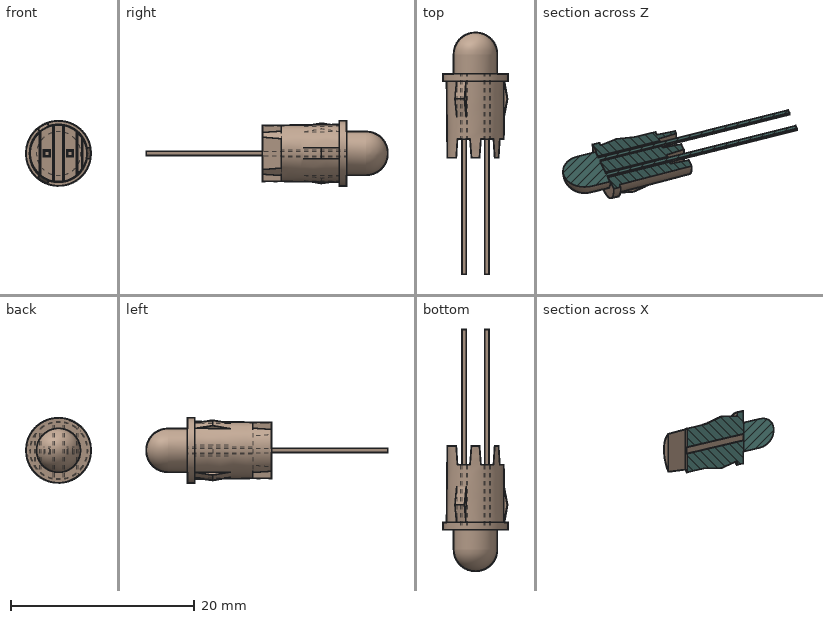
import cadquery as cq
import math

TOTAL_LENGTH = 26.43

LENS_RADIUS = 2.4
LENS_LENGTH = 4.52
LEAD_WIDTH = 0.5
LEAD_OFFSET = 1.25

FLANGE_RADIUS = 3.57
FLANGE_THICKNESS = 0.82
BARREL_RADIUS = 3.17
BARREL_END_RADIUS = 3.1
BARREL_LENGTH = 8.38
FOOT_LENGTH = 2.05
LEAD_HOLE_WIDTH = 0.75
LEAD_HOLE_OFFSET = 1.27

GAP_INNER_FLOOR = 0.6
GAP_INNER_TIP = 0.45
GAP_OUTER_FLOOR = 1.95
GAP_OUTER_TIP = 2.1
SIDE_CUT_FLOOR = 2.67
SIDE_CUT_TIP = 2.55

BARB_COUNT = 3
BARB_WIDTH = 1.2
BARB_PEAK_RADIUS = 3.52
BARB_PEAK_DISTANCE = 1.93
BARB_LENGTH = 3.89
BARB_ROOT_RADIUS = 2.9

SEAT_Y = FLANGE_THICKNESS
TIP_Y = SEAT_Y + LENS_LENGTH
LEAD_END_Y = TIP_Y - TOTAL_LENGTH
GAP_FLOOR_Y = FOOT_LENGTH - BARREL_LENGTH


def square_bar(width, center_x, start_y, end_y):
    """Square bar along Y, centred on Z = 0."""
    length = end_y - start_y
    return cq.Workplane("XY").box(width, length, width).translate((center_x, start_y + length / 2, 0))


def make_led():
    """Domed lens seated on the flange, with its two leads."""
    dome_base_y = TIP_Y - LENS_RADIUS
    half_angle = math.radians(45)
    arc_middle = (LENS_RADIUS * math.cos(half_angle), dome_base_y + LENS_RADIUS * math.sin(half_angle))
    led = (
        cq.Workplane("XY")
        .moveTo(0, SEAT_Y)
        .lineTo(LENS_RADIUS, SEAT_Y)
        .lineTo(LENS_RADIUS, dome_base_y)
        .threePointArc(arc_middle, (0, TIP_Y))
        .close()
        .revolve(360, (0, 0), (0, 1))
    )
    for side in (-1, 1):
        led = led.union(square_bar(LEAD_WIDTH, side * LEAD_OFFSET, LEAD_END_Y, SEAT_Y))
    return led


def make_barrel():
    """Slightly tapered barrel with the flange at its front."""
    return (
        cq.Workplane("XY")
        .polyline([
            (0, -BARREL_LENGTH),
            (BARREL_END_RADIUS, -BARREL_LENGTH),
            (BARREL_RADIUS, 0),
            (FLANGE_RADIUS, 0),
            (FLANGE_RADIUS, FLANGE_THICKNESS),
            (0, FLANGE_THICKNESS),
        ])
        .close()
        .revolve(360, (0, 0), (0, 1))
    )


def make_barb(angle):
    """Ridge with a round crest on the barrel, turned about the Y axis from +X."""
    taper = (BARREL_RADIUS - BARREL_END_RADIUS) / BARREL_LENGTH
    end_radius = BARREL_RADIUS - taper * BARB_LENGTH
    ring = (
        cq.Workplane("XY")
        .polyline([
            (BARB_ROOT_RADIUS, 0),
            (BARREL_RADIUS, 0),
            (BARB_PEAK_RADIUS, -BARB_PEAK_DISTANCE),
            (end_radius, -BARB_LENGTH),
            (BARB_ROOT_RADIUS, -BARB_LENGTH),
        ])
        .close()
        .revolve(360, (0, 0), (0, 1))
    )
    slab = cq.Workplane("XY").box(FLANGE_RADIUS, BARB_LENGTH, BARB_WIDTH)
    slab = slab.translate((FLANGE_RADIUS / 2, -BARB_LENGTH / 2, 0))
    return ring.intersect(slab).rotate((0, 0, 0), (0, 1, 0), angle)


def make_foot_gap(floor_start, floor_end, tip_start, tip_end):
    """Tapered gap through the barrel along Z, open at the foot tips."""
    return (
        cq.Workplane("XY")
        .polyline([
            (floor_start, GAP_FLOOR_Y),
            (floor_end, GAP_FLOOR_Y),
            (tip_end, -BARREL_LENGTH),
            (tip_start, -BARREL_LENGTH),
        ])
        .close()
        .extrude(FLANGE_RADIUS, both=True)
    )


def make_holder():
    """Flanged barrel with barbs, three feet and two square lead holes."""
    holder = make_barrel()
    for index in range(BARB_COUNT):
        holder = holder.union(make_barb(index * 360 / BARB_COUNT))
    for side in (-1, 1):
        holder = holder.cut(make_foot_gap(
            side * GAP_INNER_FLOOR, side * GAP_OUTER_FLOOR, side * GAP_INNER_TIP, side * GAP_OUTER_TIP
        ))
        holder = holder.cut(square_bar(LEAD_HOLE_WIDTH, side * LEAD_HOLE_OFFSET, GAP_FLOOR_Y, SEAT_Y))
    return holder.cut(make_foot_gap(SIDE_CUT_FLOOR, FLANGE_RADIUS, SIDE_CUT_TIP, FLANGE_RADIUS))


led = make_led()
holder = make_holder()

result = cq.Compound.makeCompound([led.val(), holder.val()])